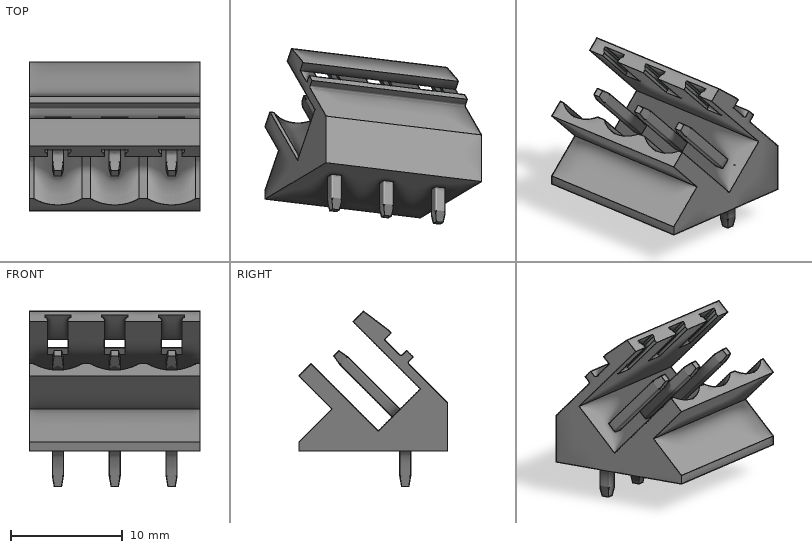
import cadquery as cq
import math


width = 15.25
total_height = 15.67
tail_length = 3.17
top_height = total_height - tail_length
rear_y = 3.79
front_y = -9.51
rear_height = 4.32
front_height = 0.8

pole_count = 3
pitch = width / pole_count
pole_places = [(i - (pole_count - 1) / 2) * pitch for i in range(pole_count)]

bend_height = 2.59
pin_width = 1.0
pin_rounding = 0.14
tip_width = 0.66
tip_length = 0.99
mating_length = 8.71

tilt = math.radians(45)
cavity_floor = 1.15
wall_end = 9.65
cavity_top = 3.05
cavity_bottom = -2.25
thin_wall_top = (rear_y + rear_height - bend_height) * math.cos(tilt)
wall_end_top = (top_height - bend_height) / math.sin(tilt) - wall_end
lower_wall_bottom = wall_end + front_y / math.cos(tilt)
underside_step = (front_height - bend_height - front_y) * math.cos(tilt)

block_start = 6.53
block_flat = 0.36
block_top = 4.76
rib_start = 3.62
rib_end = 4.45
rib_top = 4.62
rib_rounding = 0.2

slot_start = 5.5
slot_width = 1.83
slot_wide_width = 2.35
slot_neck = 0.3
slot_wide_height = 0.2

scallop_chord = 4.31
scallop_depth = 0.8


def tilted(along, across):
    """Y and Z of a place given in the tilted directions."""
    y = across * math.sin(tilt) - along * math.cos(tilt)
    z = bend_height + along * math.sin(tilt) + across * math.cos(tilt)
    return y, z


def plane_across_pin(x, along):
    """Plane square to the tilted pin: local x is X, local y is across, normal is along."""
    return cq.Workplane(
        cq.Plane(
            origin=(x, *tilted(along, 0)),
            xDir=(1, 0, 0),
            normal=(0, -math.cos(tilt), math.sin(tilt)),
        )
    )


def housing_block():
    """Housing outline, extruded over the full width."""
    outline = (
        cq.Workplane("YZ", origin=(-width / 2, 0, 0))
        .moveTo(front_y, 0)
        .lineTo(rear_y, 0)
        .lineTo(rear_y, rear_height)
        .lineTo(*tilted(rib_start - rib_rounding, thin_wall_top))
        .radiusArc(tilted(rib_start, thin_wall_top + rib_rounding), rib_rounding)
        .lineTo(*tilted(rib_start, rib_top))
        .lineTo(*tilted(rib_end, rib_top))
        .lineTo(*tilted(rib_end, thin_wall_top + rib_rounding))
        .radiusArc(tilted(rib_end + rib_rounding, thin_wall_top), rib_rounding)
        .lineTo(*tilted(block_start, thin_wall_top))
        .lineTo(*tilted(block_start, block_top))
        .lineTo(*tilted(block_start + block_flat, block_top))
        .lineTo(*tilted(wall_end, wall_end_top))
        .lineTo(*tilted(wall_end, cavity_top))
        .lineTo(*tilted(cavity_floor, cavity_top))
        .lineTo(*tilted(cavity_floor, cavity_bottom))
        .lineTo(*tilted(wall_end, cavity_bottom))
        .lineTo(*tilted(wall_end, lower_wall_bottom))
        .lineTo(*tilted(underside_step, lower_wall_bottom))
        .lineTo(front_y, front_height)
        .close()
    )
    return outline.extrude(width)


def slot_cut(x):
    """Undercut slot, open to the cavity and to the wall's end."""
    half_neck = slot_width / 2
    half_wide = slot_wide_width / 2
    neck_end = cavity_top + slot_neck
    wide_start = thin_wall_top - slot_wide_height
    return (
        plane_across_pin(x, slot_start)
        .polyline([
            (-half_neck, cavity_top),
            (half_neck, cavity_top),
            (half_neck, neck_end),
            (half_wide, wide_start),
            (half_wide, thin_wall_top),
            (-half_wide, thin_wall_top),
            (-half_wide, wide_start),
            (-half_neck, neck_end),
        ])
        .close()
        .extrude(wall_end - slot_start)
    )


def scallop_cut(x):
    """Shallow round channel in the lower wall, from the cavity floor to the wall's end."""
    return (
        plane_across_pin(x, cavity_floor)
        .moveTo(-scallop_chord / 2, cavity_bottom)
        .threePointArc((0, cavity_bottom - scallop_depth), (scallop_chord / 2, cavity_bottom))
        .close()
        .extrude(wall_end - cavity_floor)
    )


def pin_section():
    """Square section of the pin with rounded corners."""
    return cq.Sketch().rect(pin_width, pin_width).vertices().fillet(pin_rounding)


def pin_tip():
    """Tapered tip on the origin, pointing up: a pyramid trimmed to the rounded section."""
    pyramid = (
        cq.Workplane("XY")
        .rect(pin_width, pin_width)
        .workplane(offset=tip_length)
        .rect(tip_width, tip_width)
        .loft()
    )
    return cq.Workplane("XY").placeSketch(pin_section()).extrude(tip_length).intersect(pyramid)


def bent_pin():
    """Pin centred on X = 0: vertical tail, mitred bend, tilted mating end, and two tips."""
    tail_end = tip_length - tail_length
    mating_end = tilted(mating_length - tip_length, 0)
    path = (
        cq.Workplane("YZ")
        .moveTo(0, tail_end)
        .lineTo(0, bend_height)
        .lineTo(*mating_end)
    )
    shank = (
        cq.Workplane("XY", origin=(0, 0, tail_end))
        .placeSketch(pin_section())
        .sweep(path, transition="right")
    )
    tail_tip = pin_tip().rotate((0, 0, 0), (1, 0, 0), 180).translate((0, 0, tail_end))
    mating_tip = pin_tip().rotate((0, 0, 0), (1, 0, 0), math.degrees(tilt)).translate((0, *mating_end))
    return shank.union(tail_tip).union(mating_tip)


pin_shape = bent_pin()
pins = [pin_shape.translate((x, 0, 0)) for x in pole_places]

housing = housing_block()
for x, pin in zip(pole_places, pins):
    housing = housing.cut(slot_cut(x)).cut(scallop_cut(x)).cut(pin)

result = cq.Compound.makeCompound([housing.solids().val(), *[pin.solids().val() for pin in pins]])